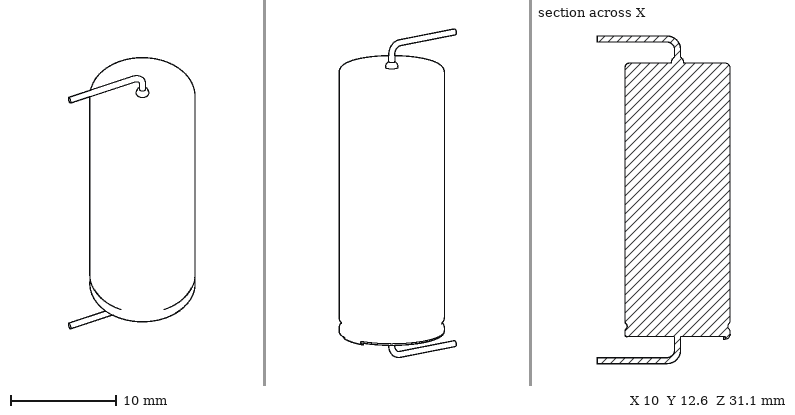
import cadquery as cq
import math

can_radius = 5.0
can_height = 25.98
top_round = 0.5
base_round = 0.22

groove_height = 1.0
groove_radius = 0.35
shoulder_radius = 0.37
groove_flank_angle = math.radians(45)

stripe_angle = 30.0
stripe_drop = 0.25
stripe_curl_radius = top_round

lead_diameter = 0.6
lead_rise = 2.55
lead_bend_radius = 1.0
lead_reach = 7.6

bead_diameter = 1.2


def draw_outer_wall(sketch):
    """Continue a half section up the can wall, over the groove and the top round."""
    sine = math.sin(groove_flank_angle)
    depth = (groove_radius + shoulder_radius) * (1 - math.cos(groove_flank_angle))
    flank_offset = groove_radius * sine
    shoulder_offset = (groove_radius + shoulder_radius) * sine
    flank_radius = can_radius - shoulder_radius * (1 - math.cos(groove_flank_angle))

    half_angle = groove_flank_angle / 2
    shoulder_mid_radius = can_radius - shoulder_radius * (1 - math.cos(half_angle))
    shoulder_mid_offset = shoulder_offset - shoulder_radius * math.sin(half_angle)

    return (
        sketch
        .lineTo(can_radius, groove_height - shoulder_offset)
        .threePointArc(
            (shoulder_mid_radius, groove_height - shoulder_mid_offset),
            (flank_radius, groove_height - flank_offset),
        )
        .threePointArc(
            (can_radius - depth, groove_height),
            (flank_radius, groove_height + flank_offset),
        )
        .threePointArc(
            (shoulder_mid_radius, groove_height + shoulder_mid_offset),
            (can_radius, groove_height + shoulder_offset),
        )
        .lineTo(can_radius, can_height - top_round)
        .radiusArc((can_radius - top_round, can_height), -top_round)
    )


def make_can():
    base_edge = (
        cq.Workplane("XZ")
        .lineTo(can_radius - base_round, 0)
        .radiusArc((can_radius, base_round), -base_round)
    )
    return draw_outer_wall(base_edge).lineTo(0, can_height).close().revolve()


def make_stripe():
    inner_radius = can_radius - stripe_curl_radius
    base_edge = (
        cq.Workplane("XZ")
        .moveTo(inner_radius, -stripe_drop)
        .radiusArc((can_radius, stripe_curl_radius - stripe_drop), -stripe_curl_radius)
    )
    section = draw_outer_wall(base_edge).close()
    sector = section.revolve(stripe_angle, (0, 0, 0), (0, 1, 0))
    middle = sector.val().Center()
    turn = 90 - math.degrees(math.atan2(middle.y, middle.x))
    return sector.rotate((0, 0, 0), (0, 0, 1), turn)


def make_lead(start_height, direction):
    """Wire leaving the can along Z (direction +1 or -1), then bent towards -Y."""
    axis_height = start_height + direction * (lead_rise - lead_diameter / 2)
    bend_start = axis_height - direction * lead_bend_radius
    half_bend = math.radians(90 / 2)
    bend_mid_inset = lead_bend_radius * (1 - math.cos(half_bend))
    path = (
        cq.Workplane("YZ")
        .moveTo(0, start_height)
        .lineTo(0, bend_start)
        .threePointArc(
            (-bend_mid_inset, axis_height - direction * bend_mid_inset),
            (-lead_bend_radius, axis_height),
        )
        .lineTo(-lead_reach, axis_height)
    )
    return cq.Workplane("XY", (0, 0, start_height)).circle(lead_diameter / 2).sweep(path)


def make_bead():
    return cq.Workplane("XY", (0, 0, can_height)).sphere(bead_diameter / 2)


result = (
    make_can()
    .union(make_stripe(), clean=False)
    .union(make_bead(), clean=False)
    .union(make_lead(can_height, 1), clean=False)
    .union(make_lead(0, -1), clean=False)
)